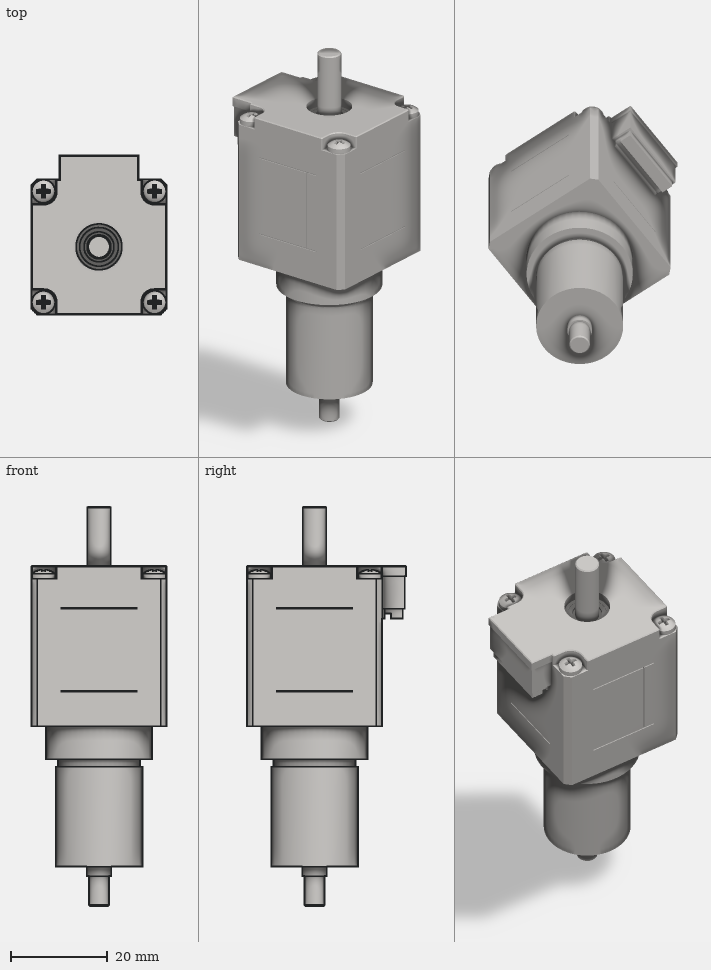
import cadquery as cq
import math


body_width = 28.0
body_half = body_width / 2
body_bottom = 37.2
body_top = 70.5
corner_chamfer = 1.2
edge_chamfer = 0.21

rear_shaft_diameter = 5
rear_shaft_top = 82.7
output_shaft_diameter = 4.2
output_shaft_top = 6.2
shoulder_diameter = 5.1
shoulder_top = 8.2
gearbox_diameter = 18.0
gearbox_top = 28.9
neck_diameter = 17.0
neck_top = 30.35
flange_diameter = 22.0
shaft_end_chamfer = 0.25

seat_diameter = 9.5
seat_depth = 1.9
seat_step_diameter = 8.0
seat_step_depth = 2.0
shaft_clearance_diameter = 6.2
shaft_clearance_depth = 2.5

screw_offset = 11.5
pocket_radius = 2.6
pocket_floor = 67.7
head_radius = 2.4
head_rim_height = 1.1
head_height = 2.0
cross_length = 2.8
cross_width = 0.8
cross_depth = 1.2
cross_taper = 12
cut_overlap = 0.8

joint_gap = 0.25
joint_outer_diameter = 31.75
joint_inner_diameter = 26.5
upper_joint_bottom = 61.5
lower_joint_bottom = 44.3
stator_groove_y = -5
stator_groove_width = 0.25
stator_groove_depth = 0.25

tab_width = 16.5
tab_reach = 5
tab_end = body_half + tab_reach
tab_bottom = 68.3
housing_inset = 0.25
housing_bottom = upper_joint_bottom
connector_root = joint_inner_diameter / 2
plug_end = 18.3
plug_width = 14.9
plug_bottom = 59.55
plug_back = 14.55
plug_notch_end = 15.8
plug_notch_top = 60.5
plug_tongue_width = 14.1


def block(x_size, y_start, y_end, z_start, z_end):
    """Box centred on X that spans the given Y and Z ranges."""
    size = (x_size, y_end - y_start, z_end - z_start)
    return cq.Workplane("XY").box(*size, centered=(True, False, False)).translate((0, y_start, z_start))


def cylinder(diameter, z_start, z_end):
    return cq.Workplane("XY", origin=(0, 0, z_start)).circle(diameter / 2).extrude(z_end - z_start)


def screw_pocket():
    """Corner pocket at the +X +Y screw, open to both sides and rounded towards the shaft."""
    size = pocket_radius + body_half - screw_offset + cut_overlap
    return (
        cq.Workplane("XY")
        .box(size, size, body_top - pocket_floor + cut_overlap, centered=False)
        .edges("|Z and <X and <Y")
        .fillet(pocket_radius)
        .translate((screw_offset - pocket_radius, screw_offset - pocket_radius, pocket_floor))
    )


def is_pocket_mouth(edge):
    """True for the upright edges where the pockets open in the sides of the body."""
    place = edge.Center()
    near, far = sorted((abs(place.x), abs(place.y)))
    wall = screw_offset - pocket_radius
    return math.isclose(near, wall, rel_tol=1e-4) and math.isclose(far, body_half, rel_tol=1e-4)


def screw_head():
    """Domed head with a cross recess, standing on Z = 0."""
    dome_height = head_height - head_rim_height
    dome_radius = (head_radius**2 + dome_height**2) / (2 * dome_height)
    arc_angle = math.asin(head_radius / dome_radius) / 2
    arc_middle = (
        dome_radius * math.sin(arc_angle),
        head_height - dome_radius * (1 - math.cos(arc_angle)),
    )
    head = (
        cq.Workplane("XZ")
        .lineTo(head_radius, 0)
        .lineTo(head_radius, head_rim_height)
        .threePointArc(arc_middle, (0, head_height))
        .close()
        .revolve(360, (0, 0), (0, 1))
    )
    top = cq.Workplane("XY", origin=(0, 0, head_height))
    for x_size, y_size in ((cross_length, cross_width), (cross_width, cross_length)):
        slot = top.rect(x_size, y_size).extrude(-cross_depth, taper=cross_taper)
        head = head.cut(slot)
    return head


def motor_body():
    """Chamfered square body with a connector tab, screw pockets and softened top edges."""
    body = (
        cq.Workplane("XY", origin=(0, 0, body_bottom))
        .rect(body_width, body_width)
        .extrude(body_top - body_bottom)
        .edges("|Z")
        .chamfer(corner_chamfer)
        .union(block(tab_width, 0, tab_end, tab_bottom, body_top))
    )
    pocket = screw_pocket()
    for quarter in range(4):
        body = body.cut(pocket.rotate((0, 0, 0), (0, 0, 1), 90 * quarter))
    body = body.edges("|Z").filter(is_pocket_mouth).chamfer(edge_chamfer)
    return body.faces(">Z").edges().chamfer(edge_chamfer)


def joint_gap_ring(bottom):
    """Thin ring-shaped gap that breaks through the middle of each side of the body."""
    top = bottom + joint_gap
    return cylinder(joint_outer_diameter, bottom, top).cut(cylinder(joint_inner_diameter, bottom, top))


def stator_groove():
    """Vertical seam of the stator on the -X side."""
    height = upper_joint_bottom - lower_joint_bottom
    return (
        cq.Workplane("XY")
        .box(2 * stator_groove_depth, stator_groove_width, height, centered=(True, True, False))
        .translate((-body_half, stator_groove_y, lower_joint_bottom))
    )


def connector():
    """Socket housing under the tab, with the plug end hanging below it."""
    housing_width = tab_width - 2 * housing_inset
    housing = block(housing_width, connector_root, tab_end - housing_inset, housing_bottom, tab_bottom)
    plug = block(plug_width, plug_back, plug_end, plug_bottom, housing_bottom)
    notch = block(plug_width, plug_back, plug_notch_end, plug_bottom, plug_notch_top)
    tongue = block(plug_tongue_width, connector_root, plug_back, plug_bottom, housing_bottom)
    return housing.union(plug.cut(notch)).union(tongue)


def bearing_seat():
    """Stepped counterbore around the rear shaft."""
    return (
        cylinder(seat_diameter, body_top - seat_depth, body_top)
        .union(cylinder(seat_step_diameter, body_top - seat_step_depth, body_top))
        .union(cylinder(shaft_clearance_diameter, body_top - shaft_clearance_depth, body_top))
    )


def drive_train():
    """Rear shaft, gearbox and output shaft, all round about Z."""
    rear_shaft = cylinder(rear_shaft_diameter, body_bottom, rear_shaft_top)
    output_shaft = cylinder(output_shaft_diameter, 0, output_shaft_top)
    return (
        rear_shaft.faces(">Z").chamfer(shaft_end_chamfer)
        .union(output_shaft.faces("<Z").chamfer(shaft_end_chamfer))
        .union(cylinder(shoulder_diameter, output_shaft_top, shoulder_top))
        .union(cylinder(gearbox_diameter, shoulder_top, gearbox_top))
        .union(cylinder(neck_diameter, gearbox_top, neck_top))
        .union(cylinder(flange_diameter, neck_top, body_bottom))
    )


result = (
    motor_body()
    .cut(bearing_seat())
    .cut(joint_gap_ring(upper_joint_bottom))
    .cut(joint_gap_ring(lower_joint_bottom))
    .cut(stator_groove())
    .union(connector())
    .union(drive_train())
)

head = screw_head()
for x_side in (-1, 1):
    for y_side in (-1, 1):
        place = (x_side * screw_offset, y_side * screw_offset, pocket_floor)
        result = result.union(head.translate(place))